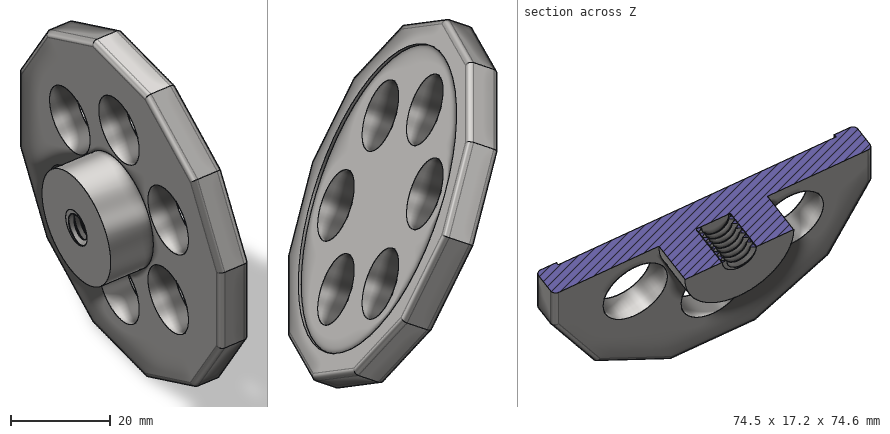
import cadquery as cq
import math

SIDE_COUNT = 12
ACROSS_FLATS = 74.55
TOTAL_DEPTH = 17.15
PLATE_THICKNESS = 7.0
RIM_FILLET = 1.2

OPENING_COUNT = 6
OPENING_DIAMETER = 15.0
OPENING_CIRCLE_RADIUS = 21.0

BACK_RECESS_DIAMETER = 64.85
BACK_RECESS_DEPTH = 0.7

BOSS_DIAMETER = 25.4
BOSS_LENGTH = TOTAL_DEPTH - PLATE_THICKNESS
BORE_RADIUS = 7.9 / 2
BORE_DEPTH = BOSS_LENGTH

THREAD_CREST_RADIUS = 5.8 / 2
THREAD_PITCH = 1.4
THREAD_CREST_WIDTH = 0.15
THREAD_ROOT_WIDTH = 1.35
THREAD_CLEARANCE = 0.01
THREAD_START_ANGLE = 165.0

BOSS_FACE_Y = -BOSS_LENGTH


def cylinder_along_y(radius, start_y, length):
    """Cylinder on the wheel axis, running from start_y toward +Y."""
    return cq.Workplane("XZ", origin=(0, start_y, 0)).circle(radius).extrude(-length)


def make_plate():
    """Twelve-sided plate with flats at top, bottom, left and right and a rounded rim."""
    corner_radius = ACROSS_FLATS / 2 / math.cos(math.pi / SIDE_COUNT)
    half_step = 180.0 / SIDE_COUNT
    plate = (
        cq.Workplane("XZ")
        .transformed(rotate=(0, 0, half_step))
        .polygon(SIDE_COUNT, 2 * corner_radius)
        .extrude(-PLATE_THICKNESS)
    )
    return plate.faces("<Y or >Y").edges().fillet(RIM_FILLET)


def make_openings():
    """Cutters for the ring of openings, with one straight above the axis."""
    return (
        cq.Workplane("XZ")
        .polarArray(OPENING_CIRCLE_RADIUS, 90, 360, OPENING_COUNT)
        .circle(OPENING_DIAMETER / 2)
        .extrude(-PLATE_THICKNESS)
    )


def make_back_recess():
    """Cutter for the shallow round recess behind the openings."""
    return cylinder_along_y(BACK_RECESS_DIAMETER / 2, PLATE_THICKNESS - BACK_RECESS_DEPTH, BACK_RECESS_DEPTH)


def make_wheel():
    """Plate and boss in one piece, with the openings, the back recess and the blind bore."""
    boss = cylinder_along_y(BOSS_DIAMETER / 2, BOSS_FACE_Y, BOSS_LENGTH)
    bore = cylinder_along_y(BORE_RADIUS, BOSS_FACE_Y, BORE_DEPTH)
    return make_plate().cut(make_openings()).cut(make_back_recess()).union(boss).cut(bore)


def make_thread():
    """Right-hand ridge of trapezoid section, trimmed flat at both ends of the bore."""
    root_radius = BORE_RADIUS - THREAD_CLEARANCE
    helix_height = BORE_DEPTH + 2 * THREAD_PITCH
    helix = cq.Wire.makeHelix(THREAD_PITCH, helix_height, root_radius)
    half_crest = THREAD_CREST_WIDTH / 2
    half_root = THREAD_ROOT_WIDTH / 2
    ridge = (
        cq.Workplane("XZ")
        .moveTo(root_radius, -half_root)
        .lineTo(THREAD_CREST_RADIUS, -half_crest)
        .lineTo(THREAD_CREST_RADIUS, half_crest)
        .lineTo(root_radius, half_root)
        .close()
        .sweep(cq.Workplane(helix), isFrenet=True)
    )
    ridge = (
        ridge.translate((0, 0, -THREAD_PITCH))
        .rotate((0, 0, 0), (1, 0, 0), -90)
        .rotate((0, 0, 0), (0, 1, 0), -THREAD_START_ANGLE)
        .translate((0, BOSS_FACE_Y, 0))
    )
    bore_span = cylinder_along_y(BOSS_DIAMETER / 2, BOSS_FACE_Y, BORE_DEPTH)
    return ridge.intersect(bore_span)


wheel = make_wheel()
thread = make_thread()
result = cq.Compound.makeCompound([wheel.val(), *thread.vals()])